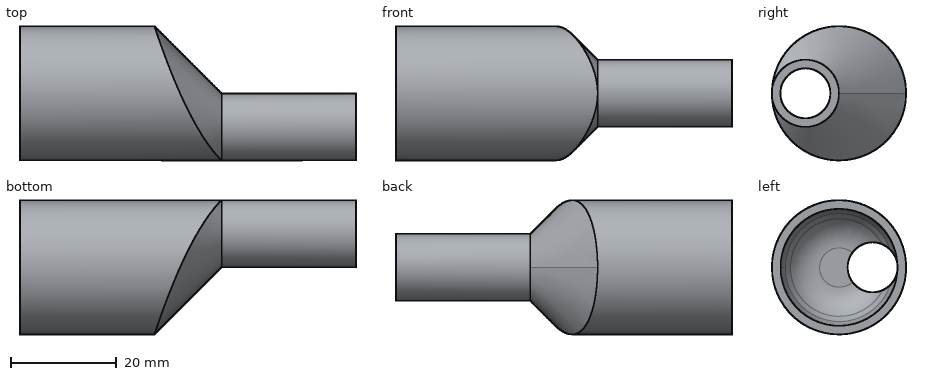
import cadquery as cq
import math

total_length = 63.5
body_diameter = 25.4
body_length = 38.1
wall = 1.65

tube_diameter = body_diameter / 2
tube_offset = (body_diameter - tube_diameter) / 2
hole_diameter = tube_diameter - 2 * wall

shoulder_angle = math.radians(45)

bore_radius = body_diameter / 2 - wall
taper_start = 12.7
cavity_depth = 19.05
taper_angle = math.radians(30)
cavity_fillet = 6.35
floor_corner_radius = bore_radius - (cavity_depth - taper_start) * math.tan(taper_angle)
bore_straight_length = taper_start - cavity_fillet * math.tan(taper_angle / 2)


def cylinder_along_x(diameter, start, end, y=0.0):
    """Solid cylinder parallel to X, from X = start to X = end."""
    return cq.Workplane("YZ", origin=(start, y, 0)).circle(diameter / 2).extrude(end - start)


def shoulder_envelope():
    """Cone around the tube axis, wide enough at X = 0 to hold the whole body."""
    tip_radius = tube_diameter / 2
    base_radius = tip_radius + body_length * math.tan(shoulder_angle)
    return (
        cq.Workplane("XY", origin=(0, -tube_offset, 0))
        .polyline([(0, 0), (0, base_radius), (body_length, tip_radius), (body_length, 0)])
        .close()
        .revolve(360, (0, 0, 0), (1, 0, 0))
    )


def cavity():
    """Bore with a tapered, rounded inner end, revolved around the body axis."""
    profile = [
        (0, 0),
        (0, bore_radius),
        (taper_start, bore_radius),
        (cavity_depth, floor_corner_radius),
        (cavity_depth, 0),
    ]
    sharp = cq.Workplane("XY").polyline(profile).close().revolve(360, (0, 0, 0), (1, 0, 0))
    inner_half = cq.selectors.BoxSelector(
        (taper_start / 2, -body_diameter, -body_diameter),
        (body_length, body_diameter, body_diameter),
    )
    corners = sharp.edges("%CIRCLE").edges(inner_half)
    return corners.fillet(cavity_fillet)


body = cylinder_along_x(body_diameter, 0, body_length).intersect(shoulder_envelope())
tube = cylinder_along_x(tube_diameter, body_length, total_length, -tube_offset)

hole = cylinder_along_x(hole_diameter, bore_straight_length, total_length, -tube_offset)

result = body.union(tube).cut(cavity()).cut(hole)